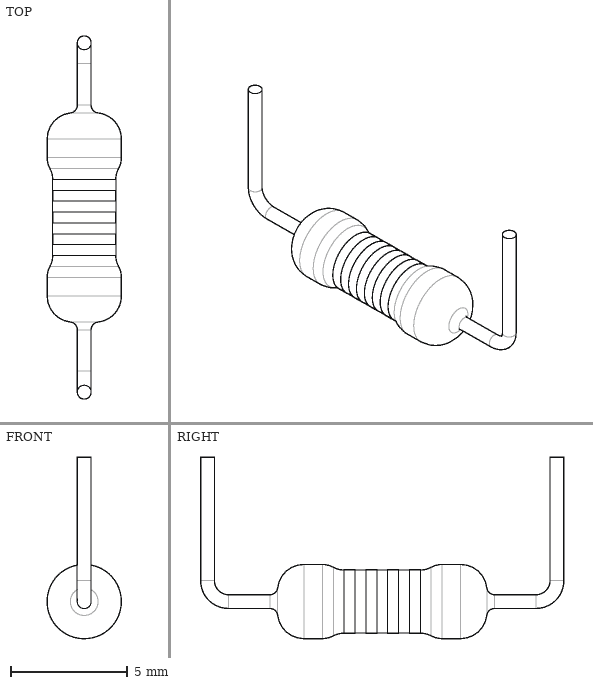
import cadquery as cq
import math


lead_diameter = 0.6
lead_spacing = 15.0
lead_top_z = 6.2
bend_radius = 0.9

body_length = 9.0
cap_diameter = 3.2
waist_diameter = 2.72
band_diameter = 2.74
band_count = 4
banded_length = 4.2
band_width = banded_length / (2 * band_count + 1)
cap_straight_length = 0.8
lead_fillet_radius = 1 / 3

lead_radius = lead_diameter / 2
lead_y = lead_spacing / 2
cap_radius = cap_diameter / 2
waist_radius = waist_diameter / 2
body_end_y = body_length / 2

waist_end_y = (2 * band_count - 1) * band_width / 2
shoulder_mid_y = waist_end_y + band_width
shoulder_end_y = shoulder_mid_y + band_width
cap_end_y = shoulder_end_y + cap_straight_length

shoulder_mid_radius = (waist_radius + cap_radius) / 2
shoulder_rise = cap_radius - shoulder_mid_radius
shoulder_arc_radius = (band_width**2 + shoulder_rise**2) / (2 * shoulder_rise)

end_arc_radius = body_end_y - cap_end_y
end_arc_center_r = cap_radius - end_arc_radius
fillet_center_r = lead_radius + lead_fillet_radius
fillet_angle = math.asin((fillet_center_r - end_arc_center_r) / (end_arc_radius + lead_fillet_radius))
fillet_end_y = cap_end_y + (end_arc_radius + lead_fillet_radius) * math.cos(fillet_angle)
end_joint_r = end_arc_center_r + end_arc_radius * math.sin(fillet_angle)
end_joint_y = cap_end_y + end_arc_radius * math.cos(fillet_angle)


def revolve_about_y(profile):
    return profile.close().revolve(360, (0, 0, 0), (0, 1, 0))


def body_end():
    profile = (
        cq.Workplane("XY")
        .moveTo(0, waist_end_y)
        .lineTo(waist_radius, waist_end_y)
        .radiusArc((shoulder_mid_radius, shoulder_mid_y), shoulder_arc_radius)
        .radiusArc((cap_radius, shoulder_end_y), -shoulder_arc_radius)
        .lineTo(cap_radius, cap_end_y)
        .radiusArc((end_joint_r, end_joint_y), -end_arc_radius)
        .radiusArc((lead_radius, fillet_end_y), lead_fillet_radius)
        .lineTo(0, fillet_end_y)
    )
    return revolve_about_y(profile)


def cylinder_along_y(diameter, start_y, length):
    return cq.Workplane("XZ", origin=(0, start_y, 0)).circle(diameter / 2).extrude(-length)


def bent_lead():
    path = (
        cq.Workplane("YZ")
        .moveTo(fillet_end_y, 0)
        .lineTo(lead_y - bend_radius, 0)
        .radiusArc((lead_y, bend_radius), -bend_radius)
        .lineTo(lead_y, lead_top_z)
    )
    section = cq.Workplane("XZ", origin=(0, fillet_end_y, 0)).circle(lead_radius)
    return section.sweep(path)


end_with_lead = body_end().union(bent_lead())
waist = cylinder_along_y(waist_diameter, -waist_end_y, 2 * waist_end_y)
result = waist.union(end_with_lead).union(end_with_lead.mirror("XZ"))
for index in range(band_count):
    band_start_y = -waist_end_y + 2 * index * band_width
    result = result.union(cylinder_along_y(band_diameter, band_start_y, band_width))